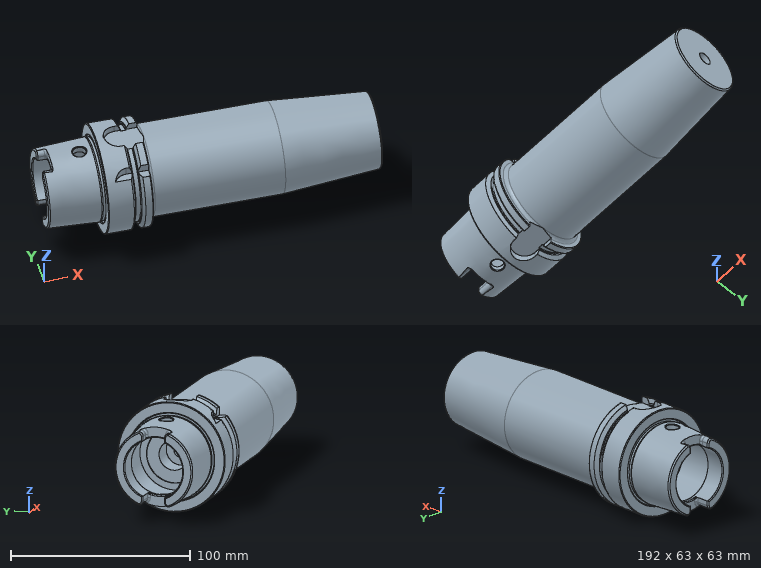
import cadquery as cq
import math


SHANK_LENGTH = 32.0
TAPER_SLOPE = 1 / 20
GAUGE_X = -6.3
GAUGE_RADIUS = 48.04 / 2
TAPER_END_X = -2.0
NOSE_CHAMFER = 0.8
RELIEF_X = -1.1
RELIEF_RADIUS = 23.8
FACE_RECESS_RADIUS = 25.5
FACE_RECESS_DEPTH = 0.5

FLANGE_RADIUS = 63.0 / 2
FLANGE_WIDTH = 26.0
FLANGE_CHAMFER = 0.5
GROOVE_X = 18.13
GROOVE_RADIUS = 27.5
GROOVE_WALL_HALF = 1.8
GROOVE_MOUTH_HALF = 3.3
GROOVE_FILLET = 0.5
GROOVE_WALL_ANGLE = math.radians(30)

BODY_LENGTH = 160.0
BODY_RADIUS = 53.0 / 2
BODY_FILLET = 2.0
BODY_TAPER_X = 103.0
BODY_TAPER_ANGLE = math.radians(4.5)
BODY_END_CHAMFER = 0.8

BORE_RADIUS = 34.0 / 2
BORE_CHAMFER = 0.6
BORE_EDGE_X = -19.6
CAVITY_RADIUS = 40.0 / 2
CAVITY_CONE_ANGLE = math.radians(60)
CAVITY_FLOOR_X = 5.0
FLOOR_BOSS_RADIUS = 15.8
FLOOR_BOSS_HEIGHT = 1.0
THREAD_BORE_RADIUS = 16.92 / 2
THREAD_BORE_DEPTH = 12.0
COOLANT_RADIUS = 8.0 / 2

RADIAL_HOLE_X = -9.0
RADIAL_HOLE_RADIUS = 7.5 / 2
RADIAL_HOLE_CHAMFER = 0.5

DRIVE_SLOT_WIDTH = 12.54
DRIVE_SLOT_DEPTH_TOP = 6.0
DRIVE_SLOT_DEPTH_BOTTOM = 10.0
DRIVE_SHOULDER_Z = 21.0
DRIVE_EDGE_RADIUS = 2.5
DRIVE_FLOOR_RADIUS = 1.2
DRIVE_MOUTH_CHAMFER = 0.8
CHAMFER_ANGLE = 45.0

PICK_MARGIN = 0.1

KEYWAY_WIDTH = 16.0
KEYWAY_START_X = 5.0
KEYWAY_FLOOR_Z = 26.5
NOTCH_FLOOR_Z = 19.8
NOTCH_WALL_Y = 19.8


def taper_radius(x):
    """Radius of the shank cone at a position along the axis."""
    return GAUGE_RADIUS + (x - GAUGE_X) * TAPER_SLOPE


def turned_outline():
    """Outer half profile in the XY plane, with Y as the radius."""
    nose_x = -SHANK_LENGTH
    wall_drop = (GROOVE_MOUTH_HALF - GROOVE_WALL_HALF) / math.tan(GROOVE_WALL_ANGLE)
    groove_knee_radius = FLANGE_RADIUS - wall_drop
    chamfer_rise = BODY_END_CHAMFER * math.tan(BODY_TAPER_ANGLE)
    end_radius = BODY_RADIUS - (BODY_LENGTH - BODY_TAPER_X) * math.tan(BODY_TAPER_ANGLE)
    return (
        cq.Workplane("XY")
        .moveTo(nose_x, 0)
        .lineTo(nose_x, taper_radius(nose_x) - NOSE_CHAMFER)
        .lineTo(nose_x + NOSE_CHAMFER, taper_radius(nose_x + NOSE_CHAMFER))
        .lineTo(TAPER_END_X, taper_radius(TAPER_END_X))
        .lineTo(RELIEF_X, RELIEF_RADIUS)
        .lineTo(FACE_RECESS_DEPTH, RELIEF_RADIUS)
        .lineTo(FACE_RECESS_DEPTH, FACE_RECESS_RADIUS - FACE_RECESS_DEPTH)
        .lineTo(0, FACE_RECESS_RADIUS)
        .lineTo(0, FLANGE_RADIUS - FLANGE_CHAMFER)
        .lineTo(FLANGE_CHAMFER, FLANGE_RADIUS)
        .lineTo(GROOVE_X - GROOVE_MOUTH_HALF, FLANGE_RADIUS)
        .lineTo(GROOVE_X - GROOVE_WALL_HALF, groove_knee_radius)
        .lineTo(GROOVE_X - GROOVE_WALL_HALF, GROOVE_RADIUS + GROOVE_FILLET)
        .radiusArc((GROOVE_X - GROOVE_WALL_HALF + GROOVE_FILLET, GROOVE_RADIUS), -GROOVE_FILLET)
        .lineTo(GROOVE_X + GROOVE_WALL_HALF - GROOVE_FILLET, GROOVE_RADIUS)
        .radiusArc((GROOVE_X + GROOVE_WALL_HALF, GROOVE_RADIUS + GROOVE_FILLET), -GROOVE_FILLET)
        .lineTo(GROOVE_X + GROOVE_WALL_HALF, groove_knee_radius)
        .lineTo(GROOVE_X + GROOVE_MOUTH_HALF, FLANGE_RADIUS)
        .lineTo(FLANGE_WIDTH - FLANGE_CHAMFER, FLANGE_RADIUS)
        .lineTo(FLANGE_WIDTH, FLANGE_RADIUS - FLANGE_CHAMFER)
        .lineTo(FLANGE_WIDTH, BODY_RADIUS + BODY_FILLET)
        .radiusArc((FLANGE_WIDTH + BODY_FILLET, BODY_RADIUS), -BODY_FILLET)
        .lineTo(BODY_TAPER_X, BODY_RADIUS)
        .lineTo(BODY_LENGTH - BODY_END_CHAMFER, end_radius + chamfer_rise)
        .lineTo(BODY_LENGTH, end_radius - BODY_END_CHAMFER)
        .lineTo(BODY_LENGTH, 0)
        .close()
    )


def bore_outline():
    """Half profile of the cavity, thread bore and through coolant hole."""
    nose_x = -SHANK_LENGTH
    cone_end_x = BORE_EDGE_X + (CAVITY_RADIUS - BORE_RADIUS) / math.tan(CAVITY_CONE_ANGLE)
    boss_x = CAVITY_FLOOR_X - FLOOR_BOSS_HEIGHT
    thread_end_x = CAVITY_FLOOR_X + THREAD_BORE_DEPTH
    return (
        cq.Workplane("XY")
        .moveTo(nose_x, 0)
        .lineTo(nose_x, BORE_RADIUS + BORE_CHAMFER)
        .lineTo(nose_x + BORE_CHAMFER, BORE_RADIUS)
        .lineTo(BORE_EDGE_X, BORE_RADIUS)
        .lineTo(cone_end_x, CAVITY_RADIUS)
        .lineTo(CAVITY_FLOOR_X, CAVITY_RADIUS)
        .lineTo(CAVITY_FLOOR_X, FLOOR_BOSS_RADIUS)
        .lineTo(boss_x, FLOOR_BOSS_RADIUS)
        .lineTo(boss_x, THREAD_BORE_RADIUS)
        .lineTo(thread_end_x, THREAD_BORE_RADIUS)
        .lineTo(thread_end_x, COOLANT_RADIUS)
        .lineTo(BODY_LENGTH, COOLANT_RADIUS)
        .lineTo(BODY_LENGTH, 0)
        .close()
    )


def revolve_about_x(outline):
    return outline.revolve(360, (0, 0, 0), (1, 0, 0))


def cut_radial_hole(body):
    """Drill the cross hole along Z through both walls and chamfer its outer edges."""
    drill = (
        cq.Workplane("XY", origin=(RADIAL_HOLE_X, 0, -FLANGE_RADIUS))
        .circle(RADIAL_HOLE_RADIUS)
        .extrude(2 * FLANGE_RADIUS)
    )
    drilled = body.cut(drill)
    hole_edge_z = taper_radius(RADIAL_HOLE_X)
    wall_inner_z = CAVITY_RADIUS
    for side in (-1, 1):
        outer_edge = cq.selectors.BoxSelector(
            (RADIAL_HOLE_X - RADIAL_HOLE_RADIUS, -RADIAL_HOLE_RADIUS, side * wall_inner_z),
            (RADIAL_HOLE_X + RADIAL_HOLE_RADIUS, RADIAL_HOLE_RADIUS, side * hole_edge_z),
        )
        drilled = drilled.edges(outer_edge).chamfer(RADIAL_HOLE_CHAMFER)
    return drilled


def drive_slot_outline(clearance):
    """Section of a nose slot on the +Z side, grown outward by a clearance.

    Each side wall rounds over into a flat shoulder near the cone surface.
    """
    half = DRIVE_SLOT_WIDTH / 2 + clearance
    edge_radius = DRIVE_EDGE_RADIUS - clearance
    shoulder_z = DRIVE_SHOULDER_Z - clearance
    shoulder_y = half + edge_radius
    outer_y = shoulder_y + DRIVE_EDGE_RADIUS
    return (
        cq.Workplane("YZ", origin=(-SHANK_LENGTH, 0, 0))
        .moveTo(-half, 0)
        .lineTo(-half, shoulder_z - edge_radius)
        .radiusArc((-shoulder_y, shoulder_z), -edge_radius)
        .lineTo(-outer_y, shoulder_z)
        .lineTo(-outer_y, FLANGE_RADIUS)
        .lineTo(outer_y, FLANGE_RADIUS)
        .lineTo(outer_y, shoulder_z)
        .lineTo(shoulder_y, shoulder_z)
        .radiusArc((half, shoulder_z - edge_radius), -edge_radius)
        .lineTo(half, 0)
        .close()
    )


def drive_slot(depth):
    """Cutter for a nose slot on the +Z side with a chamfered mouth and a filleted floor.

    The bore edge is chamfered again where the slot floor meets it.
    """
    floor_x = depth - SHANK_LENGTH
    slot = drive_slot_outline(0).extrude(depth)
    floor_edges = cq.selectors.BoxSelector(
        (floor_x - PICK_MARGIN, -DRIVE_SLOT_WIDTH, PICK_MARGIN),
        (floor_x + PICK_MARGIN, DRIVE_SLOT_WIDTH, DRIVE_SHOULDER_Z + PICK_MARGIN),
    )
    slot = slot.edges(floor_edges).fillet(DRIVE_FLOOR_RADIUS)
    mouth = drive_slot_outline(DRIVE_MOUTH_CHAMFER).extrude(DRIVE_MOUTH_CHAMFER, taper=CHAMFER_ANGLE)
    bore_edge = (
        cq.Workplane("YZ", origin=(floor_x, 0, 0))
        .circle(BORE_RADIUS + BORE_CHAMFER)
        .extrude(BORE_CHAMFER, taper=CHAMFER_ANGLE)
        .intersect(drive_slot_outline(0).extrude(depth + BORE_CHAMFER))
    )
    return slot.union(mouth).union(bore_edge)


def round_ended_cutter(center_y, floor_z):
    """Cutter for a slot along X, open upward and toward the body, with a round end near X = 0."""
    radius = KEYWAY_WIDTH / 2
    height = FLANGE_RADIUS - floor_z
    arc_x = KEYWAY_START_X + radius
    end_x = FLANGE_WIDTH + BODY_FILLET
    return (
        cq.Workplane("XY", origin=(0, center_y, floor_z))
        .moveTo(end_x, radius)
        .lineTo(arc_x, radius)
        .threePointArc((KEYWAY_START_X, 0), (arc_x, -radius))
        .lineTo(end_x, -radius)
        .close()
        .extrude(height)
    )


keyway = round_ended_cutter(0, KEYWAY_FLOOR_Z)
notch = round_ended_cutter(-NOTCH_WALL_Y - KEYWAY_WIDTH / 2, NOTCH_FLOOR_Z)

holder = revolve_about_x(turned_outline()).cut(revolve_about_x(bore_outline()))

result = (
    cut_radial_hole(holder)
    .cut(drive_slot(DRIVE_SLOT_DEPTH_TOP))
    .cut(drive_slot(DRIVE_SLOT_DEPTH_BOTTOM).mirror("XY"))
    .cut(keyway)
    .cut(keyway.mirror("XY"))
    .cut(notch)
)